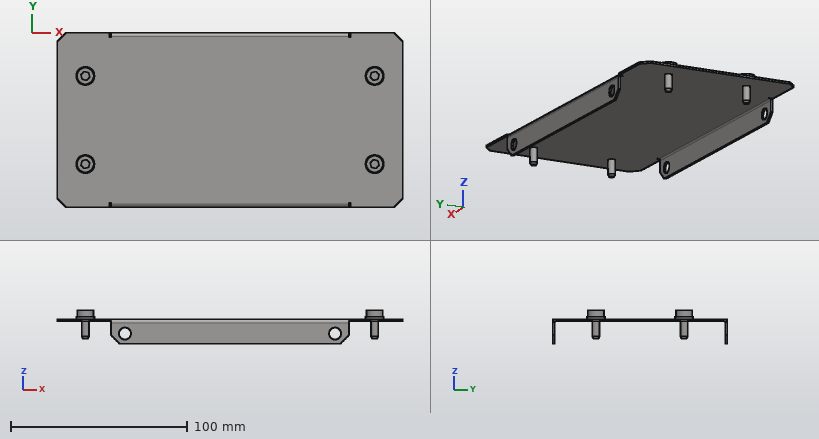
import cadquery as cq
import math

plate_length = 196.0
plate_width = 99.0
sheet = 1.2
corner_cut = 4.9
bend_inner_radius = 0.88
bend_outer_radius = bend_inner_radius + sheet
flange_length = 135.2
flange_height = 14.1
flange_corner_cut = 5.0
relief_width = 0.5
relief_depth = 2.5

flange_hole_diameter = 6.7
flange_hole_spacing = 119.2
flange_hole_drop = 8.2

screw_spacing_x = 164.0
screw_spacing_y = 50.0
washer_diameter = 10.4
washer_thickness = 1.2
head_diameter = 9.5
head_height = 4.0
shank_diameter = 4.3
shank_end_drop = 11.2
tip_chamfer_length = 1.4
tip_chamfer_inset = 0.8
socket_across_flats = 4.5
socket_depth = 3.0
socket_turn = 15.0

head_bottom = washer_thickness
head_top = head_bottom + head_height
socket_corner_diameter = socket_across_flats / math.cos(math.radians(30))
screw_places = [(sx * screw_spacing_x / 2, sy * screw_spacing_y / 2) for sx in (-1, 1) for sy in (-1, 1)]


def make_plate():
    """Flat plate with cut corners, notched where the bends run."""
    plate = (
        cq.Workplane("XY")
        .box(plate_length, plate_width, sheet, centered=(True, True, False))
        .translate((0, 0, -sheet))
        .edges("|Z")
        .chamfer(corner_cut)
    )
    notch_length = flange_length + 2 * relief_width
    for side in (-1, 1):
        notch = cq.Workplane("XY").box(notch_length, 2 * relief_depth, 3 * sheet)
        plate = plate.cut(notch.translate((0, side * plate_width / 2, 0)))
    return plate


def make_flange():
    """Bent flange for the -Y edge, reaching inward to the end of the relief slots."""
    outer_y = -plate_width / 2
    inner_y = outer_y + sheet
    bend_y = outer_y + bend_outer_radius
    diagonal = math.sqrt(0.5)
    flange = (
        cq.Workplane("YZ")
        .moveTo(outer_y + relief_depth, 0)
        .lineTo(bend_y, 0)
        .threePointArc(
            (bend_y - bend_outer_radius * diagonal, -bend_outer_radius * (1 - diagonal)),
            (outer_y, -bend_outer_radius),
        )
        .lineTo(outer_y, -flange_height)
        .lineTo(inner_y, -flange_height)
        .lineTo(inner_y, -bend_outer_radius)
        .threePointArc(
            (bend_y - bend_inner_radius * diagonal, -bend_outer_radius + bend_inner_radius * diagonal),
            (bend_y, -sheet),
        )
        .lineTo(outer_y + relief_depth, -sheet)
        .close()
        .extrude(flange_length / 2, both=True)
    )
    flange = flange.faces("<Z").edges("|Y").chamfer(flange_corner_cut)
    holes = (
        cq.Workplane("XZ", origin=(0, bend_y, -flange_hole_drop))
        .pushPoints([(-flange_hole_spacing / 2, 0), (flange_hole_spacing / 2, 0)])
        .circle(flange_hole_diameter / 2)
        .extrude(2 * bend_outer_radius)
    )
    return flange.cut(holes)


def make_cover():
    """Plate and both flanges as one sheet, with a close-fitting hole for each screw."""
    flange = make_flange()
    cover = make_plate().union(flange).union(flange.mirror("XZ"))
    screw_holes = (
        cq.Workplane("XY").pushPoints(screw_places).circle(shank_diameter / 2).extrude(-sheet)
    )
    return cover.cut(screw_holes)


def make_washer(x, y):
    """Flat ring between the plate and a screw head."""
    return (
        cq.Workplane("XY", origin=(x, y, 0))
        .circle(washer_diameter / 2)
        .circle(shank_diameter / 2)
        .extrude(washer_thickness)
    )


def make_screw(x, y):
    """Screw with a hexagon socket; the socket's turn mirrors from one quadrant to the next."""
    shank_end = cq.Workplane("XY", origin=(x, y, -shank_end_drop))
    shank = shank_end.circle(shank_diameter / 2).extrude(shank_end_drop + head_bottom)
    shank = shank.faces("<Z").chamfer(tip_chamfer_length, tip_chamfer_inset)
    head = cq.Workplane("XY", origin=(x, y, head_bottom)).circle(head_diameter / 2).extrude(head_height)
    turn = math.copysign(socket_turn, x * y)
    socket = (
        cq.Workplane("XY")
        .polygon(6, socket_corner_diameter)
        .extrude(-socket_depth)
        .rotate((0, 0, 0), (0, 0, 1), turn)
        .translate((x, y, head_top))
    )
    return shank.union(head).cut(socket)


cover = make_cover()
washers = [make_washer(x, y) for x, y in screw_places]
screws = [make_screw(x, y) for x, y in screw_places]

result = cq.Compound.makeCompound(
    [cover.val()] + [washer.val() for washer in washers] + [screw.val() for screw in screws]
)